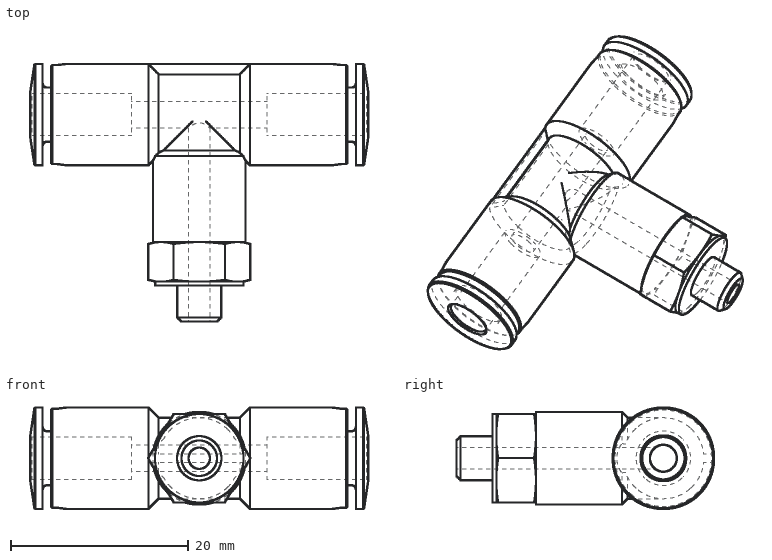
import cadquery as cq
import math


half_length = 19.1
sleeve_radius = 11.5 / 2
sleeve_end = 16.73
lip_radius = 5.6
lip_chamfer = 0.15
lip_inner_end = 16.0
lip_taper_length = 1.05
neck_radius = 4.6

collar_neck_radius = 6.15 / 2
collar_fillet = 0.45
flange_back = 17.7
flange_rim_start = 18.5
flange_edge_inset = 0.1
flange_edge_width = 0.15
tube_radius = 4.77 / 2
tube_mouth_radius = 2.6
tube_mouth_depth = 0.23
tube_depth = 11.45
run_bore_radius = 3.0 / 2

rib_thickness = 1.0

branch_radius = 10.5 / 2
branch_cone_end = 4.7
nut_start = 14.4
nut_end = 18.85
nut_across_flats = 10.0
nut_bevel_angle = 15.0
seat_end = 19.32
seat_radius = nut_across_flats / 2
overall_depth = 29.15
stem_end = overall_depth - sleeve_radius
stem_radius = 5.0 / 2
stem_chamfer = 0.5
stem_bore_radius = 2.4 / 2


def branch_cylinder(radius, start, end):
    """Cylinder on the branch axis between two distances from the run axis."""
    return cq.Workplane("XZ").workplane(offset=start).circle(radius).extrude(end - start)


def make_run_half():
    """Positive-X half of the run, revolved from its outer outline."""
    collar_fillet_mid = collar_fillet * (1 - math.sqrt(0.5))
    flange_edge = flange_rim_start + flange_edge_width
    outline = (
        cq.Workplane("XY")
        .lineTo(0, neck_radius)
        .lineTo(neck_radius, neck_radius)
        .lineTo(sleeve_radius, sleeve_radius)
        .lineTo(lip_inner_end - lip_taper_length, sleeve_radius)
        .lineTo(lip_inner_end, lip_radius)
        .lineTo(sleeve_end - lip_chamfer, lip_radius)
        .lineTo(sleeve_end, lip_radius - lip_chamfer)
        .lineTo(sleeve_end, collar_neck_radius)
        .lineTo(flange_back - collar_fillet, collar_neck_radius)
        .threePointArc(
            (flange_back - collar_fillet_mid, collar_neck_radius + collar_fillet_mid),
            (flange_back, collar_neck_radius + collar_fillet),
        )
        .lineTo(flange_back, sleeve_radius)
        .lineTo(flange_rim_start, sleeve_radius)
        .lineTo(flange_edge, sleeve_radius - flange_edge_inset)
        .lineTo(half_length, tube_mouth_radius)
        .lineTo(half_length, 0)
        .close()
    )
    return outline.revolve(360, (0, 0, 0), (1, 0, 0))


def make_tube_socket():
    """Stepped bore of the positive-X half, with a flared mouth."""
    outline = (
        cq.Workplane("XY")
        .lineTo(0, run_bore_radius)
        .lineTo(half_length - tube_depth, run_bore_radius)
        .lineTo(half_length - tube_depth, tube_radius)
        .lineTo(half_length - tube_mouth_depth, tube_radius)
        .lineTo(half_length, tube_mouth_radius)
        .lineTo(half_length, 0)
        .close()
    )
    return outline.revolve(360, (0, 0, 0), (1, 0, 0))


def make_rib():
    """Flat rib filling the back of the neck between the sleeve shoulders."""
    profile = (
        cq.Workplane("XY")
        .moveTo(-sleeve_radius, 0)
        .lineTo(sleeve_radius, 0)
        .lineTo(sleeve_radius, sleeve_radius)
        .lineTo(-sleeve_radius, sleeve_radius)
        .close()
    )
    rib = profile.extrude(rib_thickness / 2, both=True)
    envelope = cq.Workplane("YZ").circle(sleeve_radius).extrude(sleeve_radius, both=True)
    return rib.intersect(envelope)


def make_branch():
    """Branch sleeve that narrows to the neck, where it meets the run."""
    cone_length = branch_radius - neck_radius
    outline = (
        cq.Workplane("XY")
        .lineTo(neck_radius, 0)
        .lineTo(neck_radius, cone_length - branch_cone_end)
        .lineTo(branch_radius, -branch_cone_end)
        .lineTo(branch_radius, -nut_start)
        .lineTo(0, -nut_start)
        .close()
    )
    return outline.revolve(360, (0, 0, 0), (0, 1, 0))


def make_nut():
    """Hexagon with flats facing +Z and -Z, its corners bevelled at both ends."""
    corner_diameter = nut_across_flats / math.cos(math.radians(30))
    hexagon = (
        cq.Workplane("XZ")
        .workplane(offset=nut_start)
        .polygon(6, corner_diameter)
        .extrude(nut_end - nut_start)
    )
    limit_radius = nut_across_flats / math.sqrt(2)
    bevel_depth = (limit_radius - seat_radius) * math.tan(math.radians(nut_bevel_angle))
    limit = (
        cq.Workplane("XY")
        .moveTo(0, -nut_start)
        .lineTo(seat_radius, -nut_start)
        .lineTo(limit_radius, -nut_start - bevel_depth)
        .lineTo(limit_radius, -nut_end + bevel_depth)
        .lineTo(seat_radius, -nut_end)
        .lineTo(0, -nut_end)
        .close()
        .revolve(360, (0, 0, 0), (0, 1, 0))
    )
    return hexagon.intersect(limit)


def make_stem():
    """Seat ring under the nut and the plain stem with a chamfered tip."""
    seat = branch_cylinder(seat_radius, nut_end, seat_end)
    stem = branch_cylinder(stem_radius, nut_start, stem_end)
    return seat.union(stem.faces("<Y").chamfer(stem_chamfer))


run_half = make_run_half()
socket = make_tube_socket()
body = run_half.union(run_half.mirror("YZ")).union(make_rib())
body = body.union(make_branch()).union(make_nut()).union(make_stem())
body = body.cut(socket).cut(socket.mirror("YZ"))
result = body.cut(branch_cylinder(stem_bore_radius, 0, stem_end))